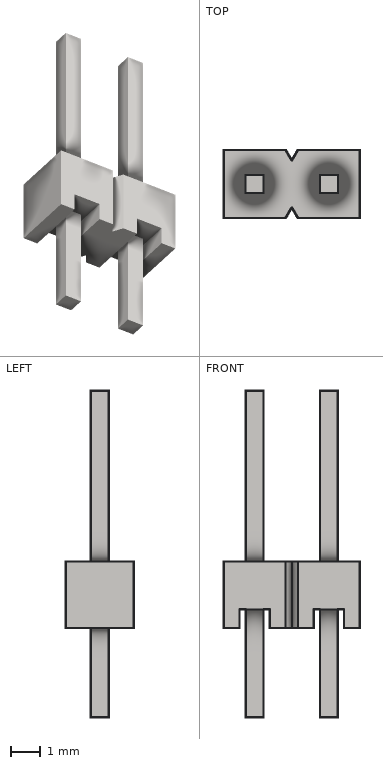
import cadquery as cq


pin_count = 2
pitch = 2.54
body_length = 4.67
body_width = 2.34
body_height = 2.29

pin_size = 0.62
pin_above_body = 5.84
pin_below_body = 3.05
pin_length = pin_above_body + body_height + pin_below_body

slot_width = 1.02
slot_height = 0.64

notch_width = 0.42
notch_depth = 0.36

pin_positions = [(i - (pin_count - 1) / 2) * pitch for i in range(pin_count)]
notch_positions = [(left + right) / 2 for left, right in zip(pin_positions, pin_positions[1:])]


def box_from_bottom(length, width, height, x=0, z=0):
    """Box centred on (x, 0) with its bottom face at height z."""
    return cq.Workplane("XY").box(length, width, height, centered=(True, True, False)).translate((x, 0, z))


def break_notch(x, side):
    """Vertical V-notch at x, cut into the +Y (side = 1) or -Y (side = -1) face."""
    face_y = side * body_width / 2
    tip_y = face_y - side * notch_depth
    outline = [(x - notch_width / 2, face_y), (x + notch_width / 2, face_y), (x, tip_y)]
    return cq.Workplane("XY").polyline(outline).close().extrude(body_height)


def make_body():
    body = box_from_bottom(body_length, body_width, body_height)
    for x in pin_positions:
        body = body.cut(box_from_bottom(slot_width, body_width, slot_height, x))
    for x in notch_positions:
        for side in (-1, 1):
            body = body.cut(break_notch(x, side))
    return body


result = make_body()
for pin_x in pin_positions:
    result = result.union(box_from_bottom(pin_size, pin_size, pin_length, pin_x, -pin_below_body))